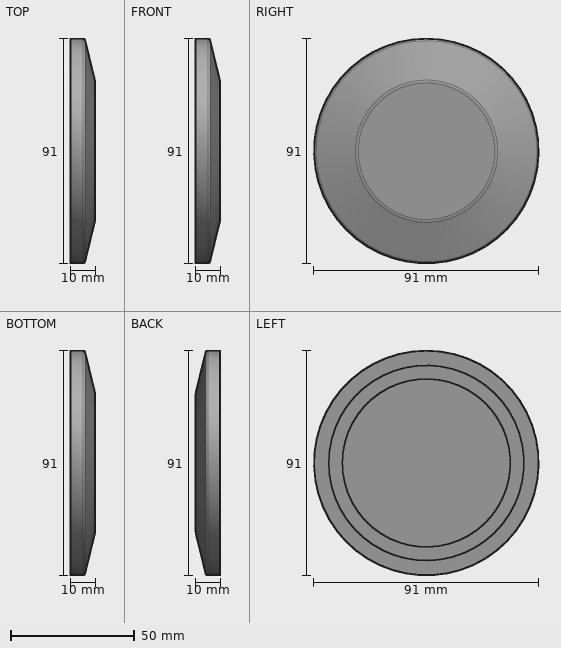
import cadquery as cq
import math

total_thickness = 10.0
outer_radius = 45.5
rim_width = 5.8
front_face_radius = 28.25
rim_fillet = 1.0
front_fillet = 5.0

recess_radius = 39.5
recess_depth = 1.5
pad_radius = 34.0
pad_height = 1.0

cone_angle = math.atan2(total_thickness - rim_width, outer_radius - front_face_radius)


def point_on_circle(center, radius, angle):
    """Point on a circle in the profile plane, angle measured from the X axis."""
    return (
        center[0] + radius * math.cos(angle),
        center[1] + radius * math.sin(angle),
    )


def add_fillet_arc(profile, center, radius, start_angle, end_angle):
    """Draw a line to the start of a fillet, then its arc."""
    middle_angle = (start_angle + end_angle) / 2
    profile = profile.lineTo(*point_on_circle(center, radius, start_angle))
    return profile.threePointArc(
        point_on_circle(center, radius, middle_angle),
        point_on_circle(center, radius, end_angle),
    )


def make_body():
    """Disc with a straight rim and a conical front, both cone ends rounded."""
    rim_normal = math.pi / 2
    front_normal = 0.0

    rim_tangent = rim_fillet * math.tan((rim_normal - cone_angle) / 2)
    front_tangent = front_fillet * math.tan((cone_angle - front_normal) / 2)

    rim_center = (rim_width - rim_tangent, outer_radius - rim_fillet)
    front_center = (total_thickness - front_fillet, front_face_radius - front_tangent)

    profile = cq.Workplane("XZ").lineTo(0, outer_radius)
    profile = add_fillet_arc(profile, rim_center, rim_fillet, rim_normal, cone_angle)
    profile = add_fillet_arc(profile, front_center, front_fillet, cone_angle, front_normal)
    profile = profile.lineTo(total_thickness, 0).close()
    return profile.revolve(360, (0, 0, 0), (1, 0, 0))


def make_back_recess():
    """Shallow round recess that leaves the pad standing on its floor."""
    recess = cq.Workplane("YZ").circle(recess_radius).extrude(recess_depth)
    pad = (
        cq.Workplane("YZ", origin=(recess_depth - pad_height, 0, 0))
        .circle(pad_radius)
        .extrude(pad_height)
    )
    return recess.cut(pad)


result = make_body().cut(make_back_recess())